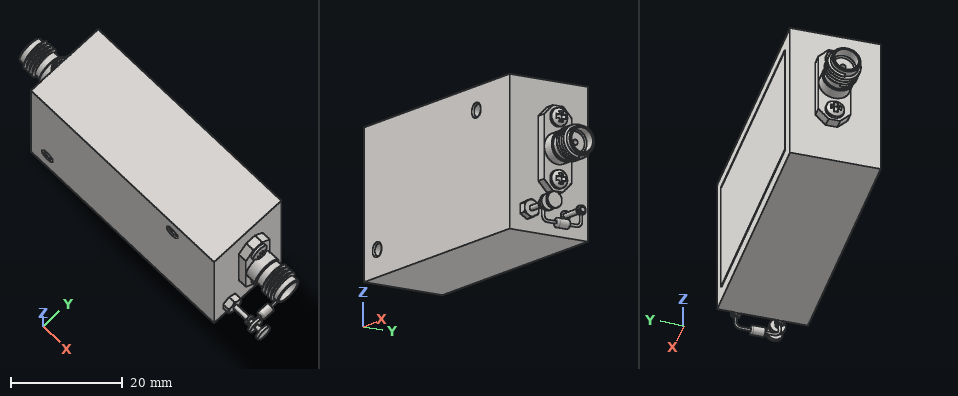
import cadquery as cq
import math

BODY_LENGTH = 46.6
BODY_DEPTH = 16.9
BODY_HEIGHT = 28.55
END_X = BODY_LENGTH / 2
FRONT_Y = -BODY_DEPTH / 2
BACK_Y = BODY_DEPTH / 2

LABEL_THICKNESS = 0.1
LABEL_MARGIN = 2.9

HOLE_DIAMETER = 2.25
HOLE_MOUTH_DIAMETER = 2.8
HOLE_DEPTH = 5.9
DRILL_POINT_ANGLE = 118.0
HOLE_CENTRES = [(12.65, 9.8), (-19.1, -9.15)]

OVERALL_LENGTH = 65.8
CONNECTOR_Y = 0.7
CONNECTOR_Z = 1.4
FLANGE_THICKNESS = 1.85
FLANGE_WIDTH = 6.0
FLANGE_HEIGHT = 15.8
FLANGE_CHAMFER = 1.9
BASE_DIAMETER = 5.85
BASE_LENGTH = 2.5
BASE_CHAMFER = 0.2
BARREL_DIAMETER = 5.3
TIP_X = OVERALL_LENGTH / 2 - END_X
TIP_CHAMFER = 0.1
BORE_DIAMETER = 4.55
BORE_DEPTH = 1.9
SEAT_DIAMETER = 3.95
SEAT_DEPTH = 0.25
CONTACT_DIAMETER = 1.0
CONTACT_DEPTH = 2.0

THREAD_DIAMETER = 6.3
THREAD_PITCH = 0.7
THREAD_TURNS = 4
THREAD_START = 5.6
THREAD_CREST = 0.1
THREAD_ROOT = 0.6
THREAD_OVERLAP = 0.05

SCREW_SPACING = 11.45
SCREW_DIAMETER = 3.4
SCREW_RIM = 0.5
SCREW_HEIGHT = 1.25
SLOT_LENGTH = 2.4
SLOT_FLOOR = 1.2
SLOT_WIDTH = 0.8
SLOT_DEPTH = 0.85

TERMINAL_Z = -10.25
FEED_Y = -4.7
GROUND_Y = 3.5
PIN_DIAMETER = 1.0
NUT_ACROSS_FLATS = 3.0
NUT_LENGTH = 1.5
NUT_CHAMFER = 0.2
FEED_LENGTH = 8.9
DISC_DIAMETER = 3.0
DISC_THICKNESS = 0.6
DISC_STARTS = [6.3, FEED_LENGTH - DISC_THICKNESS]
COLLAR_DIAMETER = 1.85
COLLAR_LENGTH = 0.2
GROUND_LENGTH = 5.7

DIODE_X = END_X + 5.15
DIODE_DROP = 3.0
DIODE_DIAMETER = 1.8
DIODE_LENGTH = 2.6
DIODE_FILLET = 0.25
LEAD_DIAMETER = 0.51
LEAD_BEND = 1.0
LOOP_DIAMETER = 1.8
LOOP_WIDTH = 0.45


def rod_x(diameter, start, length):
    """Cylinder lying along X."""
    return cq.Workplane("YZ").workplane(offset=start).circle(diameter / 2).extrude(length)


def housing():
    block = cq.Workplane("XY").box(BODY_LENGTH, BODY_DEPTH, BODY_HEIGHT)
    label = cq.Workplane("XY").box(
        BODY_LENGTH - 2 * LABEL_MARGIN,
        LABEL_THICKNESS,
        BODY_HEIGHT - 2 * LABEL_MARGIN,
    ).translate((0, BACK_Y + LABEL_THICKNESS / 2, 0))
    return block.union(label)


def mounting_hole():
    """Drilled hole along +Y with a chamfered mouth and a drill point."""
    radius = HOLE_DIAMETER / 2
    mouth_radius = HOLE_MOUTH_DIAMETER / 2
    point_depth = radius / math.tan(math.radians(DRILL_POINT_ANGLE / 2))
    return (
        cq.Workplane("XY")
        .polyline([
            (0, 0),
            (mouth_radius, 0),
            (radius, mouth_radius - radius),
            (radius, HOLE_DEPTH),
            (0, HOLE_DEPTH + point_depth),
        ])
        .close()
        .revolve(360, (0, 0, 0), (0, 1, 0))
    )


def screw_head():
    """Domed head with a cross slot, standing on the flange face."""
    radius = SCREW_DIAMETER / 2
    rise = SCREW_HEIGHT - SCREW_RIM
    dome_radius = (radius ** 2 + rise ** 2) / (2 * rise)
    half_angle = math.asin(radius / dome_radius) / 2
    dome_centre = SCREW_HEIGHT - dome_radius
    arc_middle = (
        dome_centre + dome_radius * math.cos(half_angle),
        dome_radius * math.sin(half_angle),
    )
    head = (
        cq.Workplane("XY")
        .lineTo(0, radius)
        .lineTo(SCREW_RIM, radius)
        .threePointArc(arc_middle, (SCREW_HEIGHT, 0))
        .close()
        .revolve(360, (0, 0, 0), (1, 0, 0))
    )
    slot_arm = (
        cq.Workplane("XZ")
        .polyline([
            (SCREW_HEIGHT, -SLOT_LENGTH / 2),
            (SCREW_HEIGHT, SLOT_LENGTH / 2),
            (SCREW_HEIGHT - SLOT_DEPTH, SLOT_FLOOR / 2),
            (SCREW_HEIGHT - SLOT_DEPTH, -SLOT_FLOOR / 2),
        ])
        .close()
        .extrude(SLOT_WIDTH / 2, both=True)
    )
    for turn in (0, 90):
        head = head.cut(slot_arm.rotate((0, 0, 0), (1, 0, 0), turn))
    return head.translate((FLANGE_THICKNESS, 0, 0))


def thread():
    """Trapezoidal ridge swept along a helix around X."""
    root_radius = BARREL_DIAMETER / 2 - THREAD_OVERLAP
    crest_radius = THREAD_DIAMETER / 2
    helix = cq.Wire.makeHelix(THREAD_PITCH, THREAD_PITCH * THREAD_TURNS, root_radius)
    ridge = (
        cq.Workplane("XZ")
        .polyline([
            (root_radius, -THREAD_ROOT / 2),
            (crest_radius, -THREAD_CREST / 2),
            (crest_radius, THREAD_CREST / 2),
            (root_radius, THREAD_ROOT / 2),
        ])
        .close()
        .sweep(cq.Workplane(obj=helix), isFrenet=True)
    )
    return ridge.rotate((0, 0, 0), (0, 1, 0), 90).translate((THREAD_START, 0, 0))


def connector():
    """Flanged threaded jack pointing along +X from a mounting plane at X = 0."""
    flange = (
        cq.Workplane("XY")
        .box(FLANGE_THICKNESS, FLANGE_WIDTH, FLANGE_HEIGHT)
        .translate((FLANGE_THICKNESS / 2, 0, 0))
        .edges("|X").chamfer(FLANGE_CHAMFER)
    )
    base = rod_x(BASE_DIAMETER, FLANGE_THICKNESS, BASE_LENGTH).faces(">X").chamfer(BASE_CHAMFER)
    barrel = rod_x(BARREL_DIAMETER, FLANGE_THICKNESS, TIP_X - FLANGE_THICKNESS)
    barrel = barrel.faces(">X").chamfer(TIP_CHAMFER)
    jack = flange.union(base).union(barrel).union(thread())

    floor_x = TIP_X - BORE_DEPTH - SEAT_DEPTH
    bore = (
        cq.Workplane("XY")
        .polyline([
            (floor_x - CONTACT_DEPTH, 0),
            (floor_x - CONTACT_DEPTH, CONTACT_DIAMETER / 2),
            (floor_x, CONTACT_DIAMETER / 2),
            (floor_x, SEAT_DIAMETER / 2),
            (floor_x + SEAT_DEPTH, BORE_DIAMETER / 2),
            (TIP_X, BORE_DIAMETER / 2),
            (TIP_X, 0),
        ])
        .close()
        .revolve(360, (0, 0, 0), (1, 0, 0))
    )
    jack = jack.cut(bore)
    for side in (-1, 1):
        jack = jack.union(screw_head().translate((0, 0, side * SCREW_SPACING / 2)))
    return jack.translate((END_X, 0, 0))


def feed_terminal():
    """Hexagonal nut carrying a pin with two solder discs."""
    nut_corner_diameter = NUT_ACROSS_FLATS / math.cos(math.pi / 6)
    nut = (
        cq.Workplane("YZ")
        .polygon(6, nut_corner_diameter)
        .extrude(NUT_LENGTH)
        .rotate((0, 0, 0), (1, 0, 0), 90)
    )
    nut_blank = rod_x(nut_corner_diameter, 0, NUT_LENGTH).faces(">X").chamfer(NUT_CHAMFER)
    terminal = nut.intersect(nut_blank).union(rod_x(PIN_DIAMETER, 0, FEED_LENGTH))
    for start in DISC_STARTS:
        terminal = terminal.union(rod_x(DISC_DIAMETER, start, DISC_THICKNESS))
    return terminal.translate((END_X, FEED_Y, TERMINAL_Z))


def ground_terminal():
    """Plain pin with a small collar against the housing."""
    pin = rod_x(PIN_DIAMETER, 0, GROUND_LENGTH)
    collar = rod_x(COLLAR_DIAMETER, 0, COLLAR_LENGTH)
    return pin.union(collar).translate((END_X, GROUND_Y, TERMINAL_Z))


def diode():
    """Diode body along Y, each lead bent up to a loop round a terminal pin."""
    middle_y = (FEED_Y + GROUND_Y) / 2
    axis_z = TERMINAL_Z - DIODE_DROP
    lead_top = TERMINAL_Z - (PIN_DIAMETER + LOOP_DIAMETER) / 4
    bend_offset = LEAD_BEND * (1 - math.sqrt(0.5))
    assembly = (
        cq.Workplane("XZ")
        .circle(DIODE_DIAMETER / 2)
        .extrude(DIODE_LENGTH / 2, both=True)
        .edges().fillet(DIODE_FILLET)
        .translate((DIODE_X, middle_y, axis_z))
    )
    for pin_y in (FEED_Y, GROUND_Y):
        inward = math.copysign(1, middle_y - pin_y)
        lead_path = (
            cq.Workplane("YZ", origin=(DIODE_X, 0, 0))
            .moveTo(pin_y, lead_top)
            .lineTo(pin_y, axis_z + LEAD_BEND)
            .threePointArc(
                (pin_y + inward * bend_offset, axis_z + bend_offset),
                (pin_y + inward * LEAD_BEND, axis_z),
            )
            .lineTo(middle_y, axis_z)
        )
        lead = (
            cq.Workplane("XY", origin=(DIODE_X, pin_y, lead_top))
            .circle(LEAD_DIAMETER / 2)
            .sweep(lead_path)
        )
        loop = rod_x(LOOP_DIAMETER, DIODE_X - LOOP_WIDTH / 2, LOOP_WIDTH)
        assembly = assembly.union(lead).union(loop.translate((0, pin_y, TERMINAL_Z)))
    return assembly


result = housing()
for hole_x, hole_z in HOLE_CENTRES:
    result = result.cut(mounting_hole().translate((hole_x, FRONT_Y, hole_z)))

right_connector = connector()
left_connector = right_connector.rotate((0, 0, 0), (0, 0, 1), 180)
for jack in (left_connector, right_connector):
    result = result.union(jack.translate((0, CONNECTOR_Y, CONNECTOR_Z)))

for fitting in (feed_terminal(), ground_terminal(), diode()):
    result = result.union(fitting)